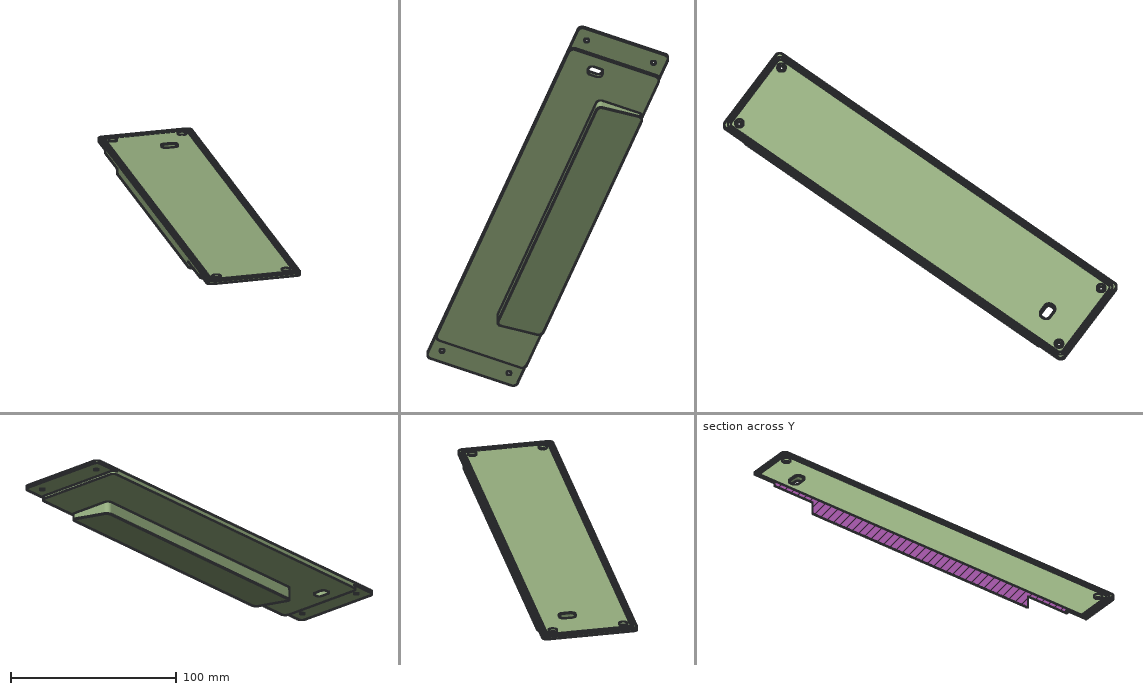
import cadquery as cq
import math

plate_length = 253.75
plate_width = 58.5
total_height = 12.22
plate_thickness = 2.0
corner_radius = 3.0
edge_chamfer = 0.35

groove_edge_distance = 1.8
groove_width = 1.4
groove_depth = 0.5
groove_outer_radius = 3.0
groove_inner_radius = 2.3

block_length = 223.5
block_bottom = -4.0

wedge_length = 168.0
wedge_front_y = -plate_width / 2
wedge_rear_y = 0.5
wedge_front_bottom = -7.6
wedge_slope = math.atan2(total_height + wedge_front_bottom, wedge_rear_y - wedge_front_y)
wedge_rear_bottom = -total_height - edge_chamfer * math.sin(wedge_slope)

screw_hole_diameter = 2.7
countersink_diameter = 5.2
countersink_angle = 90
screw_edge_distance_x = 7.6
screw_edge_distance_y = 7.5
screw_spacing_x = plate_length - 2 * screw_edge_distance_x
screw_spacing_y = plate_width - 2 * screw_edge_distance_y

slot_width = 6.1
slot_length = 9.4
slot_corner_radius = 2.5
slot_chamfer = 0.45
slot_x = -101.6
slot_y = 9.1


def rounded_block(length, width, height, radius, top=0.0):
    """Block centred on X and Y, hanging down from top, with rounded vertical edges."""
    shape = cq.Workplane("XY").workplane(offset=top).rect(length, width).extrude(-height)
    return shape.edges("|Z").fillet(radius)


def plate():
    shape = rounded_block(plate_length, plate_width, plate_thickness, corner_radius)
    return shape.faces(">Z").chamfer(edge_chamfer)


def block():
    height = -plate_thickness - block_bottom
    return rounded_block(block_length, plate_width, height, corner_radius, top=-plate_thickness)


def wedge():
    """Sloped prism reaching from the front edge back to its rear wall."""
    profile = [
        (wedge_front_y, block_bottom),
        (wedge_front_y, wedge_front_bottom),
        (wedge_rear_y, wedge_rear_bottom),
        (wedge_rear_y, block_bottom),
    ]
    prism = cq.Workplane("YZ").polyline(profile).close().extrude(wedge_length / 2, both=True)
    return prism.edges("|Z").fillet(corner_radius).faces("<Z").chamfer(edge_chamfer)


def groove():
    """Rectangular ring that cuts the groove into the top face."""
    outer_length = plate_length - 2 * groove_edge_distance
    outer_width = plate_width - 2 * groove_edge_distance
    outer = rounded_block(outer_length, outer_width, groove_depth, groove_outer_radius)
    inner = rounded_block(
        outer_length - 2 * groove_width,
        outer_width - 2 * groove_width,
        groove_depth,
        groove_inner_radius,
    )
    return outer.cut(inner)


def slot():
    """Rounded slot cutter that flares out towards the top face."""
    mouth_width = slot_width + 2 * slot_chamfer
    mouth_length = slot_length + 2 * slot_chamfer
    mouth_radius = slot_corner_radius + slot_chamfer
    shaft = rounded_block(slot_width, slot_length, -block_bottom, slot_corner_radius)
    mouth = rounded_block(mouth_width, mouth_length, 2 * slot_chamfer, mouth_radius, top=slot_chamfer)
    mouth = mouth.faces("<Z").chamfer(slot_chamfer)
    return shaft.union(mouth).translate((slot_x, slot_y, 0))


result = plate().union(block()).union(wedge())
result = result.cut(groove()).cut(slot())
result = (
    result.faces(">Z")
    .workplane(origin=(0, 0, 0))
    .rect(screw_spacing_x, screw_spacing_y, forConstruction=True)
    .vertices()
    .cskHole(screw_hole_diameter, countersink_diameter, countersink_angle)
)